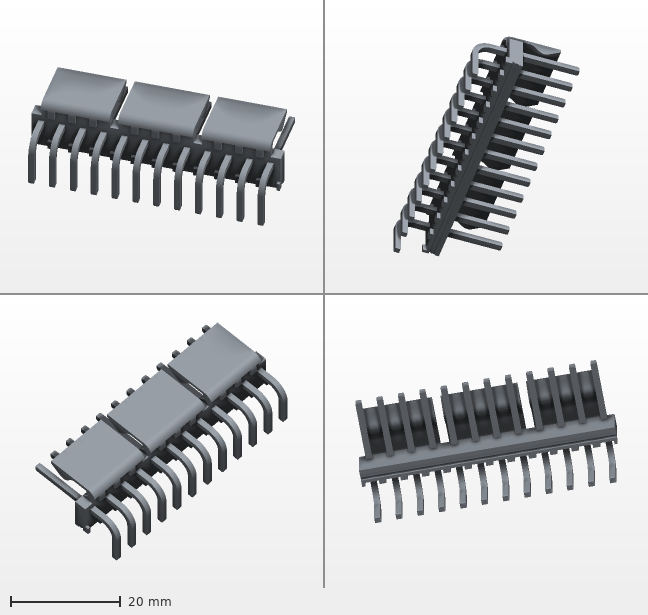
import cadquery as cq
import math


length = 47.35
pin_count = 12
pin_row_span = 43.6
pitch = pin_row_span / (pin_count - 1)
pins_per_arm = 4
arm_count = pin_count // pins_per_arm

wall_depth = 2.55
wall_height = 6.95
notch_front = 0.55
notch_step = 1.05
notch_back = 1.7
notch_low = 0.3
notch_high = 0.55
notch_slope_run = 0.3

standoff_width = 1.35
standoff_depth = 0.7
foot_height = 1.55

arm_top = 10.05
arm_gap = 1.6
arm_thickness = 0.7
arm_tip_y = 10.55
arm_stem_depth = 1.3
arm_corner_radius = 2.0
arm_inner_radius = 0.7
stem_slope_top = 8.05
front_relief_top = 8.7
hook_corner_y = 7.2
hook_corner_z = 7.15
hook_foot_y = 5.1
hook_tip_radius = 1.4
hook_foot_radius = 1.65

pin_size = 1.15
pin_axis_z = 5.1
pin_back_y = 14.0
pin_front_y = -6.7
pin_bottom_z = -3.95
bend_outer_radius = 3.6
tip_length = 0.3
tip_inset = 0.1

outer_pin_x = pin_row_span / 2
arm_pitch = pitch * pins_per_arm
arm_reach = (arm_pitch - arm_gap) / 2
arm_underside = arm_top - arm_thickness


def centred(count, step):
    """Evenly spaced X positions, symmetric about zero."""
    return [(i - (count - 1) / 2) * step for i in range(count)]


def side_plane(x):
    """YZ sketch plane at the given X, extruding toward +X."""
    return cq.Workplane("YZ", origin=(x, 0, 0))


def block(x_min, x_max, y_min, y_max, z_min, z_max):
    size = (x_max - x_min, y_max - y_min, z_max - z_min)
    return cq.Workplane("XY").box(*size, centered=False).translate((x_min, y_min, z_min))


def make_wall():
    """Straight wall with a stepped groove along its underside."""
    return (
        side_plane(-length / 2)
        .polyline([
            (0, 0),
            (notch_front, 0),
            (notch_front, notch_high),
            (notch_step - notch_slope_run, notch_high),
            (notch_step, notch_low),
            (notch_back, notch_low),
            (notch_back, 0),
            (wall_depth, 0),
            (wall_depth, wall_height),
            (0, wall_height),
        ])
        .close()
        .extrude(length)
    )


def edges_along_x(solid, y, z):
    """The X-direction edge passing through (y, z)."""
    middle = solid.val().Center().x
    return solid.edges(cq.selectors.NearestToPointSelector((middle, y, z)))


def make_arm(x_min, x_max):
    """Cantilever arm with a hooked free end, rising from the wall top."""
    arm = (
        side_plane(x_min)
        .polyline([
            (-standoff_depth, wall_height),
            (wall_depth, wall_height),
            (arm_stem_depth, stem_slope_top),
            (arm_stem_depth, arm_underside),
            (hook_foot_y, arm_underside),
            (hook_corner_y, hook_corner_z),
            (arm_tip_y, arm_underside),
            (arm_tip_y, arm_top),
            (-standoff_depth, arm_top),
        ])
        .close()
        .extrude(x_max - x_min)
    )
    roundings = [
        (-standoff_depth, arm_top, arm_corner_radius),
        (arm_stem_depth, arm_underside, arm_inner_radius),
        (hook_foot_y, arm_underside, hook_foot_radius),
        (hook_corner_y, hook_corner_z, hook_tip_radius),
    ]
    for y, z, radius in roundings:
        arm = edges_along_x(arm, y, z).fillet(radius)

    relief = block(x_min, x_max, -standoff_depth, 0, wall_height, front_relief_top)
    for x in centred(pin_count - 1, pitch):
        if x_min < x - standoff_width / 2 and x + standoff_width / 2 < x_max:
            relief = relief.cut(block(
                x - standoff_width / 2, x + standoff_width / 2,
                -standoff_depth, 0, wall_height, front_relief_top,
            ))
    return arm.cut(relief)


def make_foot(x):
    """Standoff foot at the wall bottom, trimmed to the wall length at the row ends."""
    return block(
        max(x - standoff_width / 2, -length / 2), min(x + standoff_width / 2, length / 2),
        -standoff_depth, 0, 0, foot_height,
    )


def make_pin(x):
    """Square pin, bent down in front of the wall, with tapered tips."""
    half = pin_size / 2
    top = pin_axis_z + half
    bottom = pin_axis_z - half
    inner_y = pin_front_y + pin_size
    bend_y = pin_front_y + bend_outer_radius
    bend_z = top - bend_outer_radius
    back_shoulder = pin_back_y - tip_length
    bottom_shoulder = pin_bottom_z + tip_length
    diagonal = math.sqrt(0.5)
    outer_mid = bend_outer_radius * diagonal
    inner_mid = (bend_outer_radius - pin_size) * diagonal
    pin = (
        side_plane(x - half)
        .moveTo(back_shoulder, top)
        .lineTo(bend_y, top)
        .threePointArc((bend_y - outer_mid, bend_z + outer_mid), (pin_front_y, bend_z))
        .lineTo(pin_front_y, bottom_shoulder)
        .lineTo(inner_y, bottom_shoulder)
        .lineTo(inner_y, bend_z)
        .threePointArc((bend_y - inner_mid, bend_z + inner_mid), (bend_y, bottom))
        .lineTo(back_shoulder, bottom)
        .close()
        .extrude(pin_size)
    )
    back_end = cq.Plane(origin=(x, back_shoulder, pin_axis_z), xDir=(1, 0, 0), normal=(0, 1, 0))
    bottom_end = cq.Plane(
        origin=(x, pin_front_y + half, bottom_shoulder), xDir=(1, 0, 0), normal=(0, 0, -1)
    )
    taper = math.degrees(math.atan2(tip_inset, tip_length))
    for plane in (back_end, bottom_end):
        tip = cq.Workplane(plane).rect(pin_size, pin_size).extrude(tip_length, taper=taper)
        pin = pin.union(tip)
    return pin


result = make_wall()

for x in centred(arm_count, arm_pitch):
    result = result.union(make_arm(max(x - arm_reach, -outer_pin_x), min(x + arm_reach, outer_pin_x)))

for x in centred(pin_count + 1, pitch):
    result = result.union(make_foot(x))

for x in centred(pin_count, pitch):
    result = result.union(make_pin(x))